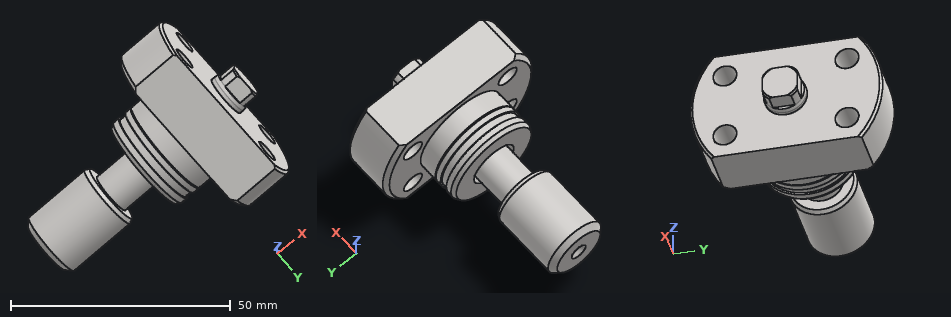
import cadquery as cq
import math


overall_length = 60.0
flange_thickness = 13.0
rear_collar_length = 2.0
square_length = 4.0
collar_rear = overall_length - square_length
flange_rear = collar_rear - rear_collar_length
flange_front = flange_rear - flange_thickness

head_radius = 8.0
head_length = 19.4
head_front_chamfer = 1.5
head_rear_chamfer_length = 1.1
head_rear_chamfer_depth = 0.6
rod_radius = 5.0
collar_taper_length = 1.0
tip_radius = 4.8
tip_chamfer = 0.4
square_width = 8.1
centre_mouth_radius = 2.1
centre_drill_radius = 1.05
centre_cone_half_angle = math.radians(45)
centre_drill_depth = 4.0
drill_point_half_angle = math.radians(60)

spigot_radius = 12.0
spigot_length = 11.6
spigot_front = flange_front - spigot_length
spigot_chamfer_length = 1.1
spigot_chamfer_depth = 0.65
seal_groove_offset = 2.7
seal_groove_width = 2.0
seal_groove_depth = 0.5
fine_groove_offset = 6.3
fine_groove_width = 0.2
fine_groove_depth = 0.3
mouth_radius = 6.0
mouth_depth = 1.0

flange_radius = 22.5
flange_height = 28.0
flange_front_chamfer = 1.1
flange_rear_chamfer = 0.6
bolt_circle_radius = 16.5
bolt_hole_diameter = 5.5
bolt_angle = math.radians(30)
bolt_spacing_y = 2 * bolt_circle_radius * math.cos(bolt_angle)
bolt_spacing_z = 2 * bolt_circle_radius * math.sin(bolt_angle)


def revolve_about_x(points):
    """Revolve an (x, radius) outline once around the X axis."""
    return cq.Workplane("XY").polyline(points).close().revolve(360, (0, 0, 0), (1, 0, 0))


def cylinder(start, length, radius):
    """Cylinder on the X axis from x = start."""
    return cq.Workplane("YZ", origin=(start, 0, 0)).circle(radius).extrude(length)


def ring(start, length, outer_radius, depth):
    """Ring that cuts a groove of the given depth into a shaft."""
    disc = cylinder(start, length, outer_radius)
    return disc.cut(cylinder(start, length, outer_radius - depth))


def make_centre_hole():
    """Countersunk centre drilling in the front end of the head."""
    cone_depth = (centre_mouth_radius - centre_drill_radius) / math.tan(centre_cone_half_angle)
    point_depth = centre_drill_radius / math.tan(drill_point_half_angle)
    return revolve_about_x([
        (0, 0),
        (0, centre_mouth_radius),
        (cone_depth, centre_drill_radius),
        (centre_drill_depth, centre_drill_radius),
        (centre_drill_depth + point_depth, 0),
    ])


def make_square_tip():
    """Turned end with four flats, leaving rounded corners."""
    turned = revolve_about_x([
        (collar_rear, 0),
        (collar_rear, tip_radius),
        (overall_length - tip_chamfer, tip_radius),
        (overall_length, tip_radius - tip_chamfer),
        (overall_length, 0),
    ])
    square = (
        cq.Workplane("YZ", origin=(collar_rear, 0, 0))
        .rect(square_width, square_width)
        .extrude(square_length)
    )
    return turned.intersect(square)


def make_plunger():
    """Head, rod and rear collar turned in one piece, with the square tip."""
    shaft = revolve_about_x([
        (0, 0),
        (0, head_radius - head_front_chamfer),
        (head_front_chamfer, head_radius),
        (head_length - head_rear_chamfer_length, head_radius),
        (head_length, head_radius - head_rear_chamfer_depth),
        (head_length, rod_radius),
        (collar_rear - collar_taper_length, rod_radius),
        (collar_rear, tip_radius),
        (collar_rear, 0),
    ])
    return shaft.union(make_square_tip()).cut(make_centre_hole())


def make_flange():
    """Chamfered disc with two parallel flats and four bolt holes."""
    disc = revolve_about_x([
        (flange_front, 0),
        (flange_front, flange_radius - flange_front_chamfer),
        (flange_front + flange_front_chamfer, flange_radius),
        (flange_rear - flange_rear_chamfer, flange_radius),
        (flange_rear, flange_radius - flange_rear_chamfer),
        (flange_rear, 0),
    ])
    flats = (
        cq.Workplane("YZ", origin=(flange_front, 0, 0))
        .rect(2 * flange_radius, flange_height)
        .extrude(flange_thickness)
    )
    holes = (
        cq.Workplane("YZ", origin=(flange_front, 0, 0))
        .rect(bolt_spacing_y, bolt_spacing_z, forConstruction=True)
        .vertices()
        .circle(bolt_hole_diameter / 2)
        .extrude(flange_thickness)
    )
    return disc.intersect(flats).cut(holes)


def make_spigot():
    """Cylindrical nose with a lead-in chamfer, a seal groove and a fine groove."""
    spigot = revolve_about_x([
        (spigot_front, 0),
        (spigot_front, spigot_radius - spigot_chamfer_depth),
        (spigot_front + spigot_chamfer_length, spigot_radius),
        (flange_front, spigot_radius),
        (flange_front, 0),
    ])
    seal_groove = ring(spigot_front + seal_groove_offset, seal_groove_width, spigot_radius, seal_groove_depth)
    fine_groove = ring(spigot_front + fine_groove_offset, fine_groove_width, spigot_radius, fine_groove_depth)
    return spigot.cut(seal_groove).cut(fine_groove)


def make_housing():
    """Flange and spigot bored for the rod, with a conical mouth at the front."""
    bore = cylinder(spigot_front, flange_rear - spigot_front, rod_radius)
    mouth = revolve_about_x([
        (spigot_front, 0),
        (spigot_front, mouth_radius),
        (spigot_front + mouth_depth, rod_radius),
        (spigot_front + mouth_depth, 0),
    ])
    return make_flange().union(make_spigot()).cut(bore).cut(mouth)


plunger = make_plunger()
housing = make_housing()

result = cq.Compound.makeCompound([plunger.val(), housing.val()])